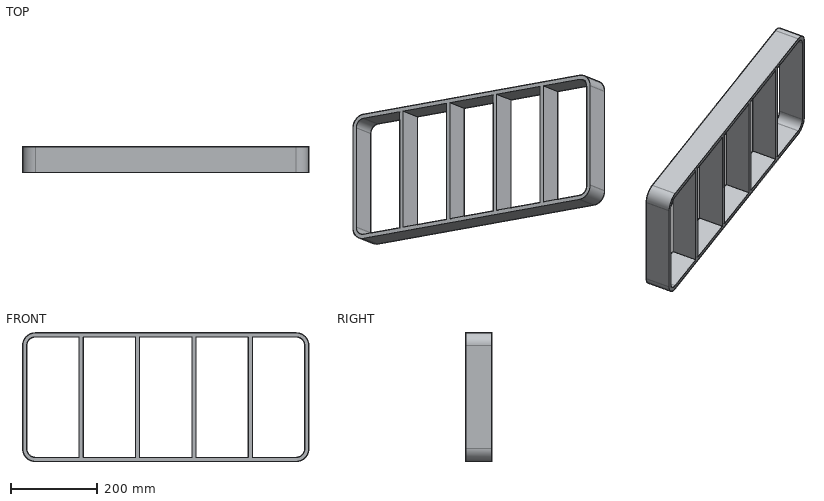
import cadquery as cq

length = 662.5
depth = 60.0
height = 298.0

wall = 10.0
outer_radius = 30.0
inner_radius = outer_radius - wall
divider_count = 4

inner_length = length - 2 * wall
inner_height = height - 2 * wall
bay_width = (inner_length - divider_count * wall) / (divider_count + 1)
divider_pitch = bay_width + wall


def rounded_block(block_length, block_height, radius):
    """Centred block with its four corners rounded about the Y axis."""
    return cq.Workplane("XY").box(block_length, depth, block_height).edges("|Y").fillet(radius)


frame = rounded_block(length, height, outer_radius).cut(
    rounded_block(inner_length, inner_height, inner_radius)
)

for index in range(divider_count):
    x_center = (index - (divider_count - 1) / 2) * divider_pitch
    divider = cq.Workplane("XY").box(wall, depth, inner_height + wall)
    frame = frame.union(divider.translate((x_center, 0, 0)))

result = frame.clean()